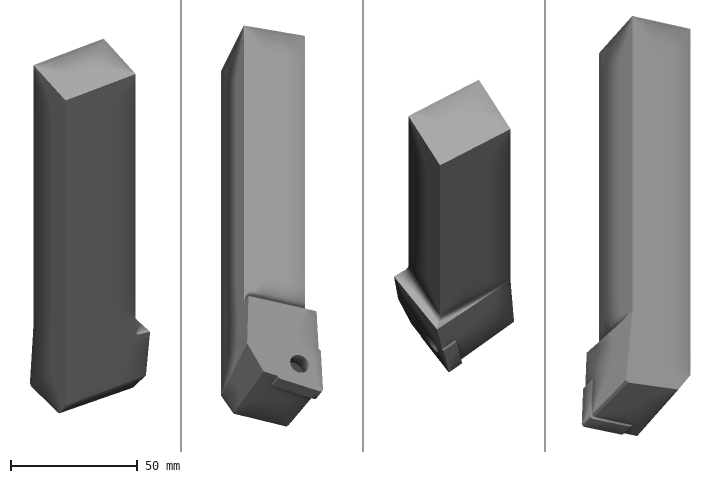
import cadquery as cq
import math

total_height = 171.4
shank_width = 25.0
shank_depth = 32.0
shank_bottom = 34.3

lean = math.tan(math.radians(5))
side_relief = math.tan(math.radians(6))
head_front_end = 4.5
nose_chamfer = 1.0
heel_height = 13.9
heel_slope = 1.5
envelope_depth = 42.8

shoulder_height = 36.7
shoulder_slope = 0.16
shoulder_fillet = 1.4
fillet_top = shoulder_height + shoulder_fillet
shoulder_reach = 13.7

insert_width = 19.0
insert_corner = math.radians(80)
insert_side = insert_width / math.sin(insert_corner)
insert_skew = insert_width / math.tan(insert_corner)
insert_thickness = 6.3
insert_nose_radius = 1.2
insert_hole_diameter = 7.9
tip_x = -32.5
tip_y = 32.0
tip_z = -0.12

rake_x = math.tan(math.radians(6))
rake_z = math.tan(math.radians(5))
rake_plane = cq.Plane(
    origin=(tip_x, tip_y, tip_z),
    xDir=(1, rake_x + rake_z * lean, lean),
    normal=(-rake_x, 1, -rake_z),
)


def head_outline(y):
    """Corner points (x, z) of the head's section at depth y."""
    def side_x(z):
        return -shank_width - side_relief * y - lean * (shoulder_height - z)

    end_at_shank = head_front_end - lean * y
    corner_x = (side_x(end_at_shank) + lean**2 * shank_width) / (1 - lean**2)
    corner_z = end_at_shank + lean * (corner_x + shank_width)
    heel_x = (corner_z - lean * corner_x - heel_height) / (heel_slope - lean)
    heel_z = heel_height + heel_slope * heel_x
    return [
        (side_x(fillet_top), fillet_top),
        (side_x(corner_z + nose_chamfer), corner_z + nose_chamfer),
        (corner_x + nose_chamfer, corner_z + lean * nose_chamfer),
        (heel_x, heel_z),
        (0, heel_height),
        (0, fillet_top),
    ]


def make_head_envelope():
    """Head bounded by its flanks, before the shoulders and the rake face are trimmed."""
    front = cq.Workplane("XZ").polyline(head_outline(0)).close()
    back = front.workplane(offset=-envelope_depth).polyline(head_outline(envelope_depth)).close()
    return back.loft(ruled=True, combine=True)


def shoulder_profile(plane, wall, inner):
    """Area under a shoulder that slopes away from a shank wall, filleted into it.

    The area starts at inner, which lies on the opposite shank wall.
    """
    away = math.copysign(1, wall - inner)
    foot = wall + away * shoulder_fillet
    foot_z = shoulder_height - shoulder_slope * shoulder_fillet
    arc_step = shoulder_fillet * (1 - math.sqrt(0.5))
    far = wall + away * shoulder_reach
    return (
        cq.Workplane(plane)
        .moveTo(inner, tip_z)
        .lineTo(inner, fillet_top)
        .lineTo(wall, fillet_top)
        .threePointArc((wall + away * arc_step, shoulder_height + arc_step), (foot, foot_z))
        .lineTo(far, shoulder_height - shoulder_slope * shoulder_reach)
        .lineTo(far, tip_z)
        .close()
    )


def make_insert_blank():
    """Rhombic insert without its hole, with rounded corners."""
    corners = [
        (0, 0),
        (insert_side, 0),
        (insert_side + insert_skew, -insert_width),
        (insert_skew, -insert_width),
    ]
    return (
        cq.Workplane(rake_plane)
        .polyline(corners)
        .close()
        .extrude(-insert_thickness)
        .edges(cq.selectors.ParallelDirSelector(rake_plane.zDir))
        .fillet(insert_nose_radius)
    )


def make_insert():
    """Insert with its hole running through between both flat faces."""
    hole = (
        cq.Workplane(rake_plane)
        .center((insert_side + insert_skew) / 2, -insert_width / 2)
        .circle(insert_hole_diameter / 2)
        .extrude(-insert_thickness)
    )
    return make_insert_blank().cut(hole)


def make_holder():
    """Shank and head in one piece, with a pocket that fits the insert."""
    side_shoulder = shoulder_profile("XZ", -shank_width, 0).extrude(-envelope_depth)
    back_shoulder = shoulder_profile("YZ", shank_depth, 0).extrude(-envelope_depth)
    behind_rake = cq.Workplane(rake_plane).rect(total_height, total_height).extrude(-total_height)
    head = make_head_envelope().intersect(side_shoulder).intersect(back_shoulder).intersect(behind_rake)
    shank = cq.Workplane("XY").box(
        shank_width, shank_depth, total_height - shank_bottom, centered=False
    ).translate((-shank_width, 0, shank_bottom))
    return head.union(shank).cut(make_insert_blank())


holder = make_holder()
insert = make_insert()
result = cq.Compound.makeCompound([holder.solids().val(), insert.solids().val()])